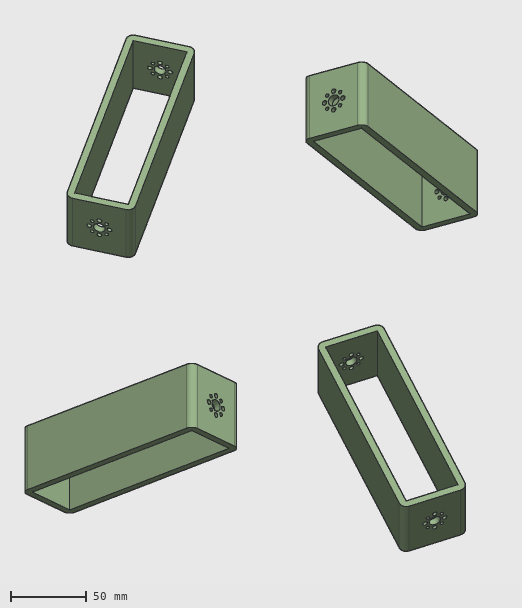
import cadquery as cq
import math

length = 152.0
width = 47.0
height = 47.0
wall = 5.0
corner_radius = wall

center_hole_diameter = 8.0
bolt_circle_radius = 7.0
large_hole_diameter = 3.2
small_hole_diameter = 2.5
holes_per_size = 4
hole_pitch_angle = 360 / holes_per_size


def make_frame():
    outer = cq.Workplane("XY").box(width, length, height).edges("|Z").fillet(corner_radius)
    opening = cq.Workplane("XY").box(width - 2 * wall, length - 2 * wall, height)
    return outer.cut(opening)


def drill(body, points, diameter):
    """Cut round holes along Y through both end walls."""
    drills = (
        cq.Workplane("XZ")
        .pushPoints(points)
        .circle(diameter / 2)
        .extrude(length / 2, both=True)
    )
    return body.cut(drills)


def ring_points(start_angle):
    """Points evenly spaced on the bolt circle."""
    angles = [math.radians(start_angle + i * hole_pitch_angle) for i in range(holes_per_size)]
    return [(bolt_circle_radius * math.cos(a), bolt_circle_radius * math.sin(a)) for a in angles]


result = make_frame()
result = drill(result, [(0, 0)], center_hole_diameter)
result = drill(result, ring_points(0), large_hole_diameter)
result = drill(result, ring_points(hole_pitch_angle / 2), small_hole_diameter)